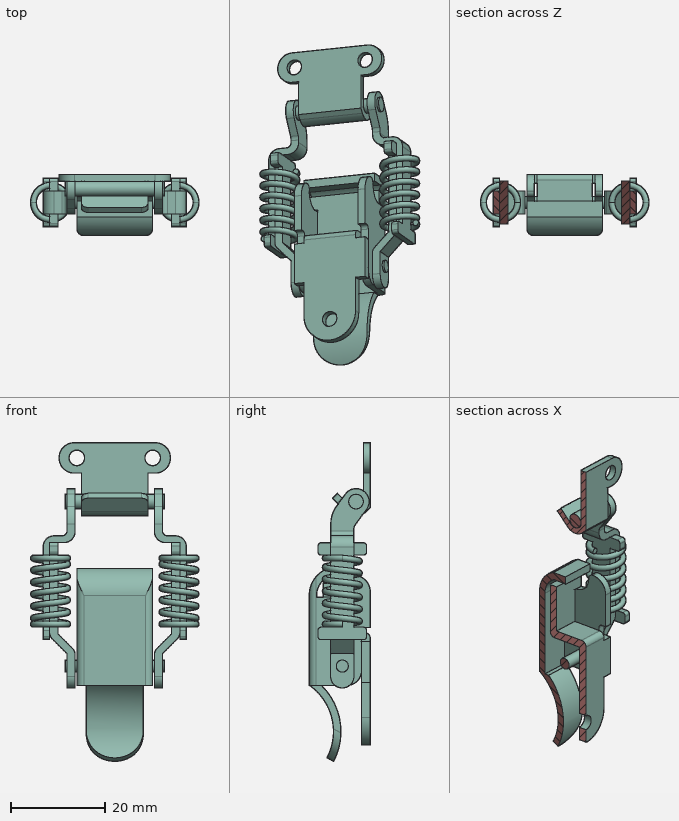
import cadquery as cq
import math


strike_thickness = 1.5
strike_half_width = 7.1
strike_top = 67.55
ear_radius = 3.25
ear_half_span = 11.8
strike_hole_x = 8.05
strike_hole_diameter = 3.25
hook_length = 4.05
hook_corner_radius = 1.4

hook_pin_radius = 1.55
hook_pin_y = -3.05
hook_pin_z = 55.05
lever_pin_radius = 1.3
lever_pin_z = 20.2
pin_half_length = 10.55

arm_centre_y = -5.95
arm_width = 4.9
arm_inner_x = 8.4
arm_outer_x = 10.1
arm_seam_x = 13.8
hook_bail_outer_x = 15.2
lever_bail_inner_x = 12.0
shoulder_top = 47.8
shoulder_bottom = 46.35
foot_width = 10.35
foot_height = 2.65
foot_corner_radius = 0.7
foot_bottom = 25.8
head_radius = 2.8
head_tilt = math.radians(36)
elbow_inner_radius = 1.5
arm_bottom = 15.55
bend_start = 22.8
bend_end = 27.0
bend_radius = 1.7
shoulder_inner_radius = 1.0
shoulder_outer_radius = 2.35

wire_radius = 0.64
spring_outer_radius = 4.25
helix_turns = 5.5

lever_half_width = 8.05
wall_thickness = 1.6
cover_thickness = 1.6
cover_front = -13.0
cover_edge_radius = 1.5
lever_bottom = 16.1
wall_top = 34.8
roof_arc_start = 35.2
roof_arc_radius = 6.1
roof_crest_y = -9.0
roof_back_y = -5.7
lobe_front_y = -4.7
lobe_top = 39.45
lobe_back_radius = 3.5
lobe_front_radius = 1.15
lobe_root_radius = 3.3
wall_step_z = 28.4
wall_step_radius = 0.8
wall_corner_radius = 3.05
handle_radius = 13.6
handle_centre_y = -19.8
handle_centre_z = 6.35
handle_half_width = 6.1

base_thickness = 1.9
base_half_width = 5.9
base_tip_centre_z = 9.3
base_shoulder_bottom = 16.7
base_shoulder_top = 25.4
base_bend_radius = 1.2
base_front = -10.0
base_top = 37.75
base_hole_diameter = 3.25
base_hole_z = 8.1


def slab(plane, points, half_depth):
    """Extrude a closed outline equally to both sides of its plane."""
    return cq.Workplane(plane).polyline(points).close().extrude(half_depth, both=True)


def block(x_range, y_range, z_range):
    """Axis-aligned box between two limits on each axis."""
    (x0, x1), (y0, y1), (z0, z1) = x_range, y_range, z_range
    return cq.Workplane("XY").box(x1 - x0, y1 - y0, z1 - z0, centered=False).translate((x0, y0, z0))


def round_edge(body, point, radius):
    """Fillet the edge whose middle lies nearest to the point."""
    return body.edges(cq.selectors.NearestToPointSelector(point)).fillet(radius)


def cross_rod(y, z, radius, half_length):
    """Round rod along X."""
    return cq.Workplane("YZ").center(y, z).circle(radius).extrude(half_length, both=True)


def with_mirror(body):
    """Join a body with its mirror image about X = 0."""
    return body.union(body.mirror("YZ"))


def make_strike():
    ear_z = strike_top - ear_radius
    outer_radius = hook_pin_radius + strike_thickness
    slope = math.sqrt(0.5)

    def hook_point(along, across):
        return (hook_pin_y - (along - across) * slope, hook_pin_z + (along + across) * slope)

    ears = cq.Workplane("XZ").center(0, ear_z).slot2D(2 * ear_half_span, 2 * ear_radius)
    ears = ears.extrude(strike_thickness)
    holes = cq.Workplane("XZ").pushPoints([(x, ear_z) for x in (-strike_hole_x, strike_hole_x)])
    holes = holes.circle(strike_hole_diameter / 2).extrude(strike_thickness)

    back_corner_z = hook_pin_z - hook_pin_y - outer_radius / slope
    front_corner_z = back_corner_z - strike_thickness + strike_thickness / slope
    strip = (
        cq.Workplane("YZ")
        .moveTo(0, ear_z)
        .lineTo(0, back_corner_z)
        .lineTo(hook_pin_y + outer_radius * slope, hook_pin_z - outer_radius * slope)
        .threePointArc((hook_pin_y, hook_pin_z - outer_radius), hook_point(0, -outer_radius))
        .lineTo(*hook_point(hook_length, -outer_radius))
        .lineTo(*hook_point(hook_length, -hook_pin_radius))
        .lineTo(*hook_point(0, -hook_pin_radius))
        .threePointArc(
            (hook_pin_y, hook_pin_z - hook_pin_radius),
            (hook_pin_y + hook_pin_radius * slope, hook_pin_z - hook_pin_radius * slope),
        )
        .lineTo(-strike_thickness, front_corner_z)
        .lineTo(-strike_thickness, ear_z)
        .close()
        .extrude(strike_half_width, both=True)
    )
    tip_y, tip_z = hook_point(hook_length, -(outer_radius + hook_pin_radius) / 2)
    for x in (-strike_half_width, strike_half_width):
        strip = round_edge(strip, (x, tip_y, tip_z), hook_corner_radius)
    return ears.union(strip).cut(holes)


def make_foot(bottom):
    foot = cq.Workplane("YZ").center(arm_centre_y, bottom + foot_height / 2)
    foot = foot.rect(foot_width, foot_height).extrude(hook_bail_outer_x)
    return foot.edges("|X").fillet(foot_corner_radius)


def make_hook_bail():
    front_y = arm_centre_y - arm_width / 2
    back_y = arm_centre_y + arm_width / 2
    run_y = head_radius * math.cos(head_tilt)
    run_z = head_radius * math.sin(head_tilt)
    front_tangent = (hook_pin_y - run_y, hook_pin_z + run_z)
    back_tangent = (hook_pin_y + run_y, hook_pin_z - run_z)
    front_elbow_z = front_tangent[1] - (front_tangent[0] - front_y) / math.tan(head_tilt)
    back_elbow_z = back_tangent[1] - (back_tangent[0] - back_y) / math.tan(head_tilt)

    side = slab(
        "YZ",
        [
            front_tangent,
            (front_y, front_elbow_z),
            (front_y, foot_bottom),
            (back_y, foot_bottom),
            (back_y, back_elbow_z),
            back_tangent,
        ],
        hook_bail_outer_x,
    )
    side = round_edge(side, (0, front_y, front_elbow_z), elbow_inner_radius + arm_width)
    side = round_edge(side, (0, back_y, back_elbow_z), elbow_inner_radius)
    side = side.union(cross_rod(hook_pin_y, hook_pin_z, head_radius, hook_bail_outer_x))
    side = side.union(make_foot(foot_bottom))

    front = slab(
        "XZ",
        [
            (arm_inner_x, strike_top),
            (arm_outer_x, strike_top),
            (arm_outer_x, shoulder_top),
            (hook_bail_outer_x, shoulder_top),
            (hook_bail_outer_x, foot_bottom),
            (arm_seam_x, foot_bottom),
            (arm_seam_x, shoulder_bottom),
            (arm_inner_x, shoulder_bottom),
        ],
        foot_width * 2,
    )
    front = round_edge(front, (arm_outer_x, 0, shoulder_top), shoulder_inner_radius)
    front = round_edge(front, (hook_bail_outer_x, 0, shoulder_top), shoulder_outer_radius)
    front = round_edge(front, (arm_inner_x, 0, shoulder_bottom), shoulder_outer_radius)
    pin = cross_rod(hook_pin_y, hook_pin_z, hook_pin_radius, pin_half_length)
    return with_mirror(front.intersect(side)).union(pin)


def make_lever_bail():
    round_centre_z = arm_bottom + arm_width / 2
    side = block(
        (0, arm_seam_x),
        (arm_centre_y - arm_width / 2, arm_centre_y + arm_width / 2),
        (round_centre_z, shoulder_bottom),
    )
    side = side.union(cross_rod(arm_centre_y, round_centre_z, arm_width / 2, arm_seam_x))
    side = side.union(make_foot(shoulder_bottom - foot_height))

    inner_bend_start = bend_end - (lever_bail_inner_x - arm_inner_x)
    outer_bend_end = bend_start + (arm_seam_x - arm_outer_x)
    front = slab(
        "XZ",
        [
            (arm_inner_x, arm_bottom),
            (arm_outer_x, arm_bottom),
            (arm_outer_x, bend_start),
            (arm_seam_x, outer_bend_end),
            (arm_seam_x, shoulder_bottom),
            (lever_bail_inner_x, shoulder_bottom),
            (lever_bail_inner_x, bend_end),
            (arm_inner_x, inner_bend_start),
        ],
        foot_width * 2,
    )
    front = round_edge(front, (arm_seam_x, 0, outer_bend_end), bend_radius)
    front = round_edge(front, (arm_inner_x, 0, inner_bend_start), bend_radius)
    pin = cross_rod(arm_centre_y, lever_pin_z, lever_pin_radius, pin_half_length)
    return with_mirror(front.intersect(side)).union(pin)


def make_spring(left_side):
    coil_radius = spring_outer_radius - wire_radius
    first_z = foot_bottom + foot_height + wire_radius
    last_z = shoulder_bottom - foot_height - wire_radius
    height = last_z - first_z

    def flat_half_turn(z, start_x):
        ring = cq.Workplane("XZ").center(start_x, z).circle(wire_radius)
        return ring.revolve(180, (-start_x, 0.7), (-start_x, 0))

    path = cq.Wire.makeHelix(height / helix_turns, height, coil_radius)
    helix = cq.Workplane("XZ").center(coil_radius, 0).circle(wire_radius).sweep(path, isFrenet=True)
    helix = helix.translate((0, 0, first_z))
    bottom_turn = flat_half_turn(first_z, coil_radius)
    top_turn = flat_half_turn(last_z, coil_radius)
    spring = helix.union(bottom_turn).union(top_turn)
    centre_x = (hook_bail_outer_x + lever_bail_inner_x) / 2
    spring = spring.translate((-centre_x, arm_centre_y, 0))
    return spring if left_side else spring.mirror("YZ")


def make_channel():
    """Cover and side walls, with the cover's long edges rounded."""
    inner_x = lever_half_width - wall_thickness
    channel = block((-lever_half_width, lever_half_width), (cover_front, 0), (lever_bottom, lobe_top))
    channel = channel.edges("|Z and <Y").fillet(cover_edge_radius)
    hollow = block((-inner_x, inner_x), (cover_front + cover_thickness, 0), (lever_bottom, lobe_top))
    return channel.cut(hollow)


def make_wall_outline():
    """Side walls seen along X: stepped back edge, pivot lobe and rounded lower corner."""
    front_y = cover_front
    back_y = -base_thickness
    wall = slab(
        "YZ",
        [
            (front_y, lever_bottom),
            (back_y, lever_bottom),
            (back_y, wall_step_z),
            (0, wall_step_z),
            (0, lobe_top),
            (lobe_front_y, lobe_top),
            (lobe_front_y, wall_top),
            (front_y, wall_top),
        ],
        lever_half_width,
    )
    wall = round_edge(wall, (0, back_y, lever_bottom), wall_corner_radius)
    wall = round_edge(wall, (0, back_y, wall_step_z), wall_step_radius)
    wall = round_edge(wall, (0, lobe_front_y, wall_top), lobe_root_radius)
    wall = round_edge(wall, (0, 0, lobe_top), lobe_back_radius)
    return round_edge(wall, (0, lobe_front_y, lobe_top), lobe_front_radius)


def make_roof():
    """Curved plate that continues the cover, with a short flat crest."""
    centre_y = cover_front + roof_arc_radius
    inner_radius = roof_arc_radius - cover_thickness

    def arc_point(radius, y):
        return (y, roof_arc_start + math.sqrt(radius**2 - (y - centre_y) ** 2))

    crest = arc_point(roof_arc_radius, roof_crest_y)
    inner_crest = arc_point(inner_radius, roof_crest_y)
    inner_front = cover_front + cover_thickness
    middle = (cover_front + roof_crest_y) / 2
    inner_middle = (inner_front + roof_crest_y) / 2
    roof = (
        cq.Workplane("YZ")
        .moveTo(cover_front, wall_top)
        .lineTo(cover_front, roof_arc_start)
        .threePointArc(arc_point(roof_arc_radius, middle), crest)
        .lineTo(roof_back_y, crest[1])
        .lineTo(roof_back_y, inner_crest[1])
        .lineTo(*inner_crest)
        .threePointArc(arc_point(inner_radius, inner_middle), (inner_front, roof_arc_start))
        .lineTo(inner_front, wall_top)
        .close()
        .extrude(lever_half_width, both=True)
    )
    rounded = block((-lever_half_width, lever_half_width), (cover_front, 0), (wall_top, strike_top))
    return roof.intersect(rounded.edges("|Z and <Y").fillet(cover_edge_radius))


def make_handle():
    """Curved tongue with a round end, trimmed flush with the front and bottom of the cover."""
    end_angle = math.asin(handle_centre_z / handle_radius)
    ring = cq.Workplane("YZ").center(handle_centre_y, handle_centre_z).circle(handle_radius)
    ring = ring.circle(handle_radius - cover_thickness).extrude(handle_half_width, both=True)
    limits = block(
        (-handle_half_width, handle_half_width),
        (cover_front, 0),
        (0, lever_bottom),
    )
    end_plane = cq.Plane(
        origin=(0, handle_centre_y, handle_centre_z),
        xDir=(1, 0, 0),
        normal=(0, -math.cos(end_angle), math.sin(end_angle)),
    )
    outline = (
        cq.Workplane(end_plane)
        .moveTo(-handle_half_width, handle_half_width)
        .threePointArc((0, 0), (handle_half_width, handle_half_width))
        .lineTo(handle_half_width, 2 * handle_radius)
        .lineTo(-handle_half_width, 2 * handle_radius)
        .close()
        .extrude(-2 * handle_radius)
    )
    return ring.intersect(limits).intersect(outline)


def make_lever():
    lever = make_channel().intersect(make_wall_outline())
    pin_hole = cross_rod(arm_centre_y, lever_pin_z, lever_pin_radius, lever_half_width)
    return lever.cut(pin_hole).union(make_roof()).union(make_handle())


def make_base():
    step_top = base_shoulder_top + base_thickness
    base = slab(
        "YZ",
        [
            (0, base_tip_centre_z),
            (0, step_top),
            (base_front + base_thickness, step_top),
            (base_front + base_thickness, base_top),
            (base_front, base_top),
            (base_front, base_shoulder_top),
            (-base_thickness, base_shoulder_top),
            (-base_thickness, base_tip_centre_z),
        ],
        base_half_width,
    )
    base = round_edge(base, (0, 0, step_top), base_bend_radius)
    base = round_edge(base, (0, base_front, base_shoulder_top), base_bend_radius)
    tip = cq.Workplane("XZ").center(0, base_tip_centre_z).circle(base_half_width)
    shoulder = block(
        (-lever_half_width, lever_half_width),
        (-base_thickness, 0),
        (base_shoulder_bottom, base_shoulder_top),
    )
    ears = block(
        (-lever_half_width, lever_half_width),
        (base_front, base_front + base_thickness),
        (wall_top, base_top),
    )
    hole = cq.Workplane("XZ").center(0, base_hole_z).circle(base_hole_diameter / 2)
    base = base.union(tip.extrude(base_thickness)).union(shoulder).union(ears)
    return base.cut(hole.extrude(base_thickness))


strike = make_strike()
hook_bail = make_hook_bail()
lever_bail = make_lever_bail()
springs = [make_spring(left_side) for left_side in (True, False)]
lever = make_lever()
base = make_base()

bodies = [strike, hook_bail, lever_bail, *springs, lever, base]
result = cq.Compound.makeCompound([solid for body in bodies for solid in body.solids().vals()])